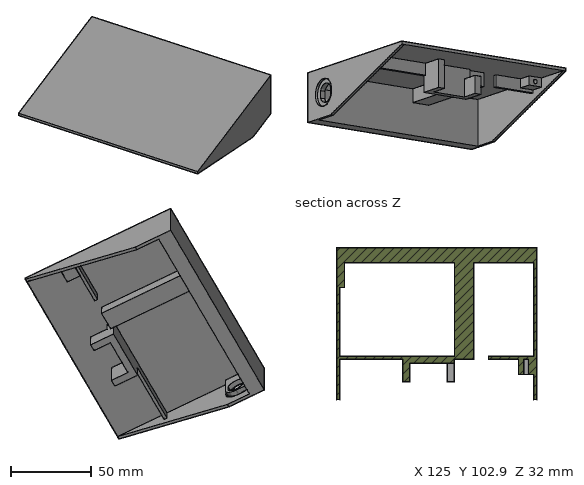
import cadquery as cq
import math

width = 125.0
depth = 102.9
height = 32.0
wall = 2.0
base_depth = 25.0
back_thickness = 9.5
ceiling = height - wall
back_face = depth - back_thickness

jack_y = depth - 17.4
jack_z = height / 2
jack_recess_diameter = 17.8
bore_diameter = 12.1
bore_flat_width = 11.1
plate_start = 1.6
plate_end = 4.9
plate_front = depth - 24.9
plate_radius = 8.0
jack_body_length = 10.2

bracket_left = 41.2
bracket_right = 73.5
bracket_front = 19.0
bracket_rear = 35.1
bracket_bottom = 11.6
bracket_wall = 4.5
tab_top = 23.2

divider_bottom = 22.2
divider_front = bracket_rear - wall
divider_right_start = 94.8
block_right = 85.6
block_bottom = 21.1

boss_width = 9.5
boss_bottom = 24.1
boss_hole_diameter = 2.8
boss_left = width - wall - boss_width


def box(x0, x1, y0, y1, z0, z1):
    """Axis-aligned box between two opposite corners."""
    return cq.Workplane("XY").box(x1 - x0, y1 - y0, z1 - z0, centered=False).translate((x0, y0, z0))


def x_cylinder(diameter, x0, x1):
    """Cylinder on the jack axis between two X positions."""
    circle = cq.Workplane("YZ", origin=(x0, jack_y, jack_z)).circle(diameter / 2)
    return circle.extrude(x1 - x0)


def make_shell():
    """Wedge hollowed from below, with a thick back wall."""
    wedge = (
        cq.Workplane("YZ")
        .moveTo(0, height)
        .lineTo(depth, height)
        .lineTo(depth, 0)
        .lineTo(depth - base_depth, 0)
        .lineTo(0, ceiling)
        .close()
        .extrude(width)
    )
    return wedge.cut(box(wall, width - wall, 0, back_face, 0, ceiling))


def make_bracket():
    """Left wall, rear wall and a lower right tab."""
    left_end = bracket_left + bracket_wall
    rear_start = bracket_rear - bracket_wall
    tab_start = bracket_right - bracket_wall
    left_wall = box(bracket_left, left_end, bracket_front, bracket_rear, bracket_bottom, ceiling)
    rear_wall = box(bracket_left, bracket_right, rear_start, bracket_rear, bracket_bottom, ceiling)
    tab = box(tab_start, bracket_right, bracket_front, bracket_rear, bracket_bottom, tab_top)
    return left_wall.union(rear_wall).union(tab)


def make_dividers():
    """Rib on each side of the cable gap, plus the block running back from the bracket."""
    left_rib = box(wall, bracket_left, divider_front, bracket_rear, divider_bottom, ceiling)
    right_rib = box(divider_right_start, width - wall, divider_front, bracket_rear, divider_bottom, ceiling)
    block = box(bracket_right, block_right, divider_front, back_face, block_bottom, ceiling)
    return left_rib.union(right_rib).union(block)


def make_screw_boss():
    """Corner block in front of the right rib with a hole for a screw."""
    boss_front = divider_front - boss_width
    boss = box(boss_left, width - wall, boss_front, divider_front, boss_bottom, ceiling)
    hole_x = boss_left + boss_width / 2
    hole_z = (boss_bottom + ceiling) / 2
    hole = cq.Workplane("XZ", origin=(hole_x, boss_front, hole_z)).circle(boss_hole_diameter / 2)
    return boss.cut(hole.extrude(-boss_width))


def make_jack_plate():
    """Plate behind the recess, its lower front corner rounded about the jack axis."""
    front_offset = jack_y - plate_front
    arc_end_z = jack_z - math.sqrt(plate_radius**2 - front_offset**2)
    mid_angle = math.asin(front_offset / plate_radius) / 2
    arc_middle = (jack_y - plate_radius * math.sin(mid_angle), jack_z - plate_radius * math.cos(mid_angle))
    plate_bottom = jack_z - plate_radius
    return (
        cq.Workplane("YZ", origin=(plate_start, 0, 0))
        .moveTo(depth - wall, ceiling)
        .lineTo(depth - wall, plate_bottom)
        .lineTo(jack_y, plate_bottom)
        .threePointArc(arc_middle, (plate_front, arc_end_z))
        .lineTo(plate_front, ceiling)
        .close()
        .extrude(plate_end - plate_start)
    )


def make_bore():
    """Round bore with two upright flats."""
    half_width = bore_flat_width / 2
    flats = box(0, plate_end, jack_y - half_width, jack_y + half_width, 0, height)
    return x_cylinder(bore_diameter, 0, plate_end).intersect(flats)


result = make_shell().cut(x_cylinder(jack_recess_diameter, 0, wall))
for feature in (make_jack_plate(), make_bracket(), make_dividers(), make_screw_boss()):
    result = result.union(feature)
result = result.cut(make_bore())
result = result.cut(x_cylinder(jack_recess_diameter, plate_end, plate_end + jack_body_length))